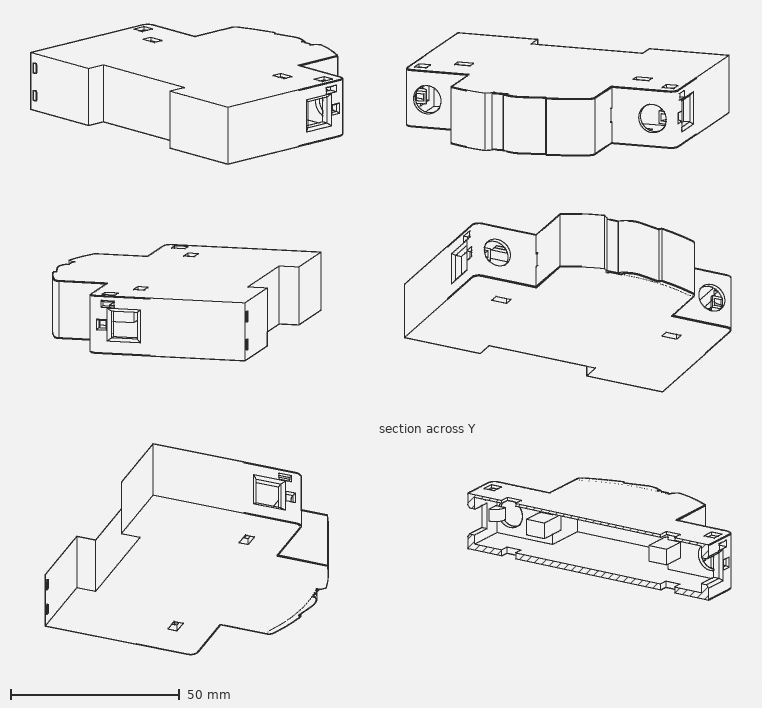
import cadquery as cq
import math

length = 85.0
width = 17.5
nub_height = 0.3
peak_y = 69.4 - nub_height
split_y = 29.1
shoulder_y = 48.1
half_length = length / 2
mid_z = width / 2

rail_width = 35.0
rail_depth = 6.0
nub_length = 1.4
nub_span = 3.1
nub_corner = 0.4
nub_x = -half_length + 1.95
nub_zs = (4.65, 13.05)

corner_radius = 2.2
tower_half = 22.35
tower_taper = 0.3
crest_chamfer_start = (-tower_half, 62.6)
crest_chamfer_mid = (-22.0, 63.7)
crest_left_start = (-21.1, 64.5)
crest_left_mid = (-15.4, 66.55)
crest_left_end = (-9.1, 68.2)
notch_bottom = (-8.5, 67.35)
dome_start = (-2.0, 68.87)
dome_end = (4.8, 67.4)
ledge_y = 67.1
ledge_end_x = 8.4
crest_right_start = (10.0, 68.5)
crest_right_mid = (16.6, 66.5)
crest_right_end_y = 63.85

cheek_thickness = 0.3
core_width = width - 2 * cheek_thickness
cheek_side_inset = 0.08
cheek_shoulder_inset = 0.35
cheek_crest_inset = 0.2
cheek_ledge_start_x = 3.5
cheek_ledge_y = 66.8
cheek_groove_start_x = 7.3
cheek_groove = (8.0, 66.0)

door_bed_start_x = -20.6
door_bed_mid = (-8.0, 66.2)
door_bed_end_y = 66.1
door_space_top_y = peak_y + 1.0

wall_x = 2.6
floor_wall = 2.0
ceiling_wall = 1.0
roof = 1.6
tower_wall = 2.0
tower_cavity_top_y = 60.0

window_y = 37.15
window_z = 8.85
window_size = (7.85, 8.0)
window_mouth = (10.25, 9.9)
window_mouth_depth = 0.7
side_slot_y = (40.15, 44.2)
side_slot_z = (14.0, 16.05)
side_slot_lip = 0.6
face_pocket_x = 3.7
face_pocket_y = (40.35, 44.45)
face_pocket_width = 3.6
face_hole_x = 14.5
face_hole_y = 35.95
face_hole_size = (4.9, 3.2)
face_hole_lip = 0.3
tower_slot_height = 0.95
tower_slot_z = (6.75, 10.95)
screw_hole_x = 7.2
screw_hole_radius = 4.3

guide_radius = 3.77
channel_inner = 0.85
channel_outer = 3.05
channel_width = channel_outer - channel_inner
port_mouth = 3.2
port_depth = 0.8
guide_width = 3.8

tongue_x = (-24.7, -18.4)
tongue_bottom_y = 39.0
tongue_z = (6.4, 11.3)


def box(x_range, y_range, z_range):
    """Axis-aligned block between pairs of limits."""
    size = [b - a for a, b in (x_range, y_range, z_range)]
    return cq.Workplane("XY").box(*size, centered=False).translate((x_range[0], y_range[0], z_range[0]))


def both_ends(shape):
    """A feature of the -X end together with its mirror at the +X end."""
    return shape.union(shape.mirror("YZ"))


def lowered(point, drop):
    return (point[0], point[1] - drop)


def make_foot():
    """Lower half of the housing with the rail recess and two small nubs underneath."""
    foot = box((-half_length, half_length), (0, split_y), (0, width))
    foot = foot.cut(box((-rail_width / 2, rail_width / 2), (0, rail_depth), (0, width)))
    for z in nub_zs:
        nub = cq.Workplane("XY").box(nub_length, 2 * nub_height, nub_span)
        nub = nub.edges("|Y").fillet(nub_corner)
        foot = foot.union(nub.translate((nub_x, 0, z)))
    return foot


def upper_slab(thickness, side_inset, shoulder_inset, crest_inset, taper, ledge):
    """Upper slab: shoulders, tower and stepped crest; ledge lists the points right of the dome."""
    side = half_length - side_inset
    top = shoulder_y - shoulder_inset
    neck = tower_half - side_inset
    bend = corner_radius * (1 - math.sqrt(0.5))
    return (
        cq.Workplane("XY")
        .moveTo(-side, split_y)
        .lineTo(-side, top - corner_radius)
        .threePointArc((-side + bend, top - bend), (-side + corner_radius, top))
        .lineTo(-neck - taper, top)
        .lineTo(-neck, crest_chamfer_start[1] - crest_inset)
        .threePointArc(lowered(crest_chamfer_mid, crest_inset), lowered(crest_left_start, crest_inset))
        .threePointArc(lowered(crest_left_mid, crest_inset), lowered(crest_left_end, crest_inset))
        .lineTo(*lowered(notch_bottom, crest_inset))
        .lineTo(*lowered(dome_start, crest_inset))
        .threePointArc((0, peak_y - crest_inset), ledge[0])
        .polyline(ledge[1:] + [crest_right_start], includeCurrent=True)
        .threePointArc(crest_right_mid, (neck, crest_right_end_y))
        .lineTo(neck + taper, top)
        .lineTo(side - corner_radius, top)
        .threePointArc((side - bend, top - bend), (side, top - corner_radius))
        .lineTo(side, split_y)
        .close()
        .extrude(thickness)
    )


def make_core():
    """Upper slab between the cheeks."""
    ledge = [dome_end, (dome_end[0], ledge_y), (ledge_end_x, ledge_y)]
    return upper_slab(core_width, 0, 0, 0, tower_taper, ledge).translate((0, 0, cheek_thickness))


def make_cheeks():
    """Full-width slab, whose ends form the cheeks outside the core."""
    ledge = [
        (cheek_ledge_start_x, dome_end[1] + cheek_crest_inset),
        (cheek_ledge_start_x, cheek_ledge_y),
        (cheek_groove_start_x, cheek_ledge_y),
        cheek_groove,
        (ledge_end_x, ledge_y),
    ]
    return upper_slab(width, cheek_side_inset, cheek_shoulder_inset, cheek_crest_inset, 0, ledge)


def door_space():
    """Room above the bed on which the door lies."""
    seam_y = crest_chamfer_start[1]
    return (
        cq.Workplane("XY", origin=(0, 0, cheek_thickness))
        .moveTo(-half_length, seam_y)
        .lineTo(door_bed_start_x, seam_y)
        .threePointArc(door_bed_mid, (ledge_end_x, door_bed_end_y))
        .lineTo(ledge_end_x, door_space_top_y)
        .lineTo(-half_length, door_space_top_y)
        .close()
        .extrude(core_width)
    )


def housing_cavity():
    inner_z = (floor_wall, width - ceiling_wall)
    body_x = half_length - wall_x
    tower_x = tower_half - tower_wall
    body = box((-body_x, body_x), (split_y, shoulder_y - roof), inner_z)
    return body.union(box((-tower_x, tower_x), (split_y, tower_cavity_top_y), inner_z))


def end_window():
    """Rectangular opening through the end wall with a tapered mouth."""
    plane = cq.Plane((-half_length, window_y, window_z), xDir=(0, 1, 0), normal=(1, 0, 0))
    opening = cq.Workplane(plane).rect(*window_size).extrude(2 * wall_x)
    mouth = (
        cq.Workplane(plane).rect(*window_mouth)
        .workplane(offset=window_mouth_depth).rect(*window_size).loft(ruled=True)
    )
    return opening.union(mouth)


def end_openings():
    """Every opening at the -X end of the housing apart from the seal-wire guide."""
    wall = (-half_length, -half_length + wall_x)
    pocket_start = -half_length + face_pocket_x - face_pocket_width / 2
    neck = tower_half + tower_taper
    hole_x = -half_length + face_hole_x
    face_hole = cq.Workplane("XY").center(hole_x, face_hole_y).rect(*face_hole_size).extrude(width)
    lip_y = face_hole_y + face_hole_size[1] / 2
    lip_x = (hole_x - face_hole_size[0] / 2, hole_x + face_hole_size[0] / 2)
    face_hole = face_hole.cut(box(lip_x, (lip_y - face_hole_lip, lip_y), (0, floor_wall)))
    screw_hole = (
        cq.Workplane("XZ", origin=(-half_length + screw_hole_x, shoulder_y, mid_z))
        .circle(screw_hole_radius).extrude(roof)
    )
    openings = end_window()
    outer_half = (-half_length, -half_length + wall_x / 2)
    openings = openings.union(box(outer_half, side_slot_y, side_slot_z))
    lipped_z = (side_slot_z[0], side_slot_z[1] - side_slot_lip)
    openings = openings.union(box(wall, side_slot_y, lipped_z))
    openings = openings.union(
        box((pocket_start, pocket_start + face_pocket_width), face_pocket_y, (width - ceiling_wall, width))
    )
    openings = openings.union(
        box((-neck, -neck + 2 * tower_wall), (shoulder_y, shoulder_y + tower_slot_height), tower_slot_z)
    )
    return openings.union(face_hole).union(screw_hole)


def guide_disc(radius, thickness):
    """Disc about the centre of the rounded corner, centred across the width."""
    centre = (-half_length + corner_radius, shoulder_y - corner_radius, mid_z - thickness / 2)
    return cq.Workplane("XY", origin=centre).circle(radius).extrude(thickness)


def wire_guide():
    """Rounded block in the corner that carries the bent wire channel."""
    corner = box(
        (-half_length + corner_radius, 0), (0, shoulder_y - corner_radius), (0, width)
    )
    return guide_disc(guide_radius, guide_width).intersect(corner)


def wire_channel():
    """Square channel from the end wall around the corner to the shoulder, with a tapered port."""
    centre_x = -half_length + corner_radius
    centre_y = shoulder_y - corner_radius
    channel_z = (mid_z - channel_width / 2, mid_z + channel_width / 2)
    ring = guide_disc(channel_outer, channel_width).cut(guide_disc(channel_inner, channel_width))
    bend = ring.intersect(box((centre_x, 0), (0, centre_y), (0, width)))
    entry = box((-half_length, centre_x), (centre_y - channel_outer, centre_y - channel_inner), channel_z)
    leave = box((centre_x + channel_inner, centre_x + channel_outer), (centre_y, shoulder_y), channel_z)
    port_y = centre_y - (channel_inner + channel_outer) / 2
    plane = cq.Plane((-half_length, port_y, mid_z), xDir=(0, 1, 0), normal=(1, 0, 0))
    port = (
        cq.Workplane(plane).rect(port_mouth, port_mouth)
        .workplane(offset=port_depth).rect(channel_width, channel_width).loft(ruled=True)
    )
    return bend.union(entry).union(leave).union(port)


def tongue():
    return box(tongue_x, (tongue_bottom_y, shoulder_y), tongue_z)


def make_housing():
    upper = make_core().union(make_cheeks()).cut(door_space())
    upper = upper.cut(housing_cavity())
    upper = upper.union(both_ends(tongue()))
    upper = upper.cut(both_ends(end_openings()))
    upper = upper.union(both_ends(wire_guide()))
    upper = upper.cut(both_ends(wire_channel()))
    return upper.union(make_foot()).clean()


def make_door():
    return make_core().intersect(door_space())


housing = make_housing()
door = make_door()
result = cq.Compound.makeCompound([housing.solids().val(), door.solids().val()])